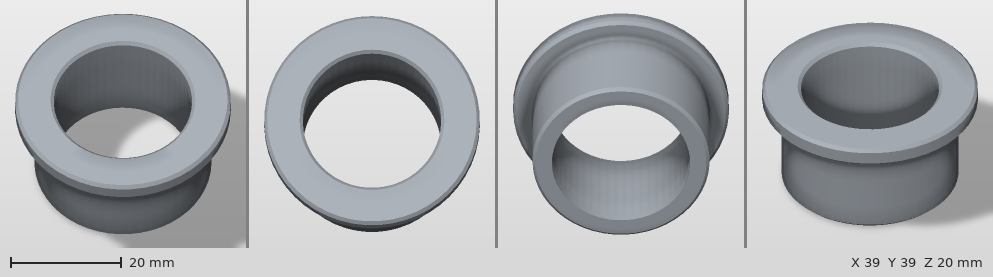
import cadquery as cq

flange_diameter = 39.0
body_diameter = 32.0
bore_diameter = 25.0
total_height = 20.0
flange_thickness = 3.5
edge_chamfer = 0.6
neck_fillet = 0.78

body_height = total_height - flange_thickness

body = (
    cq.Workplane("XY")
    .circle(body_diameter / 2)
    .extrude(body_height)
    .faces("<Z")
    .edges()
    .chamfer(edge_chamfer)
)

flange = (
    cq.Workplane("XY")
    .workplane(offset=body_height)
    .circle(flange_diameter / 2)
    .extrude(flange_thickness)
    .faces("<Z or >Z")
    .edges()
    .chamfer(edge_chamfer)
)

smallest_circle = cq.selectors.RadiusNthSelector(0)
bushing = body.union(flange)
underside = bushing.faces(cq.selectors.NearestToPointSelector((0, 0, body_height)))
bushing = underside.edges(smallest_circle).fillet(neck_fillet)

bore = cq.Workplane("XY").circle(bore_diameter / 2).extrude(total_height)
result = bushing.cut(bore).faces(">Z").edges(smallest_circle).chamfer(edge_chamfer)